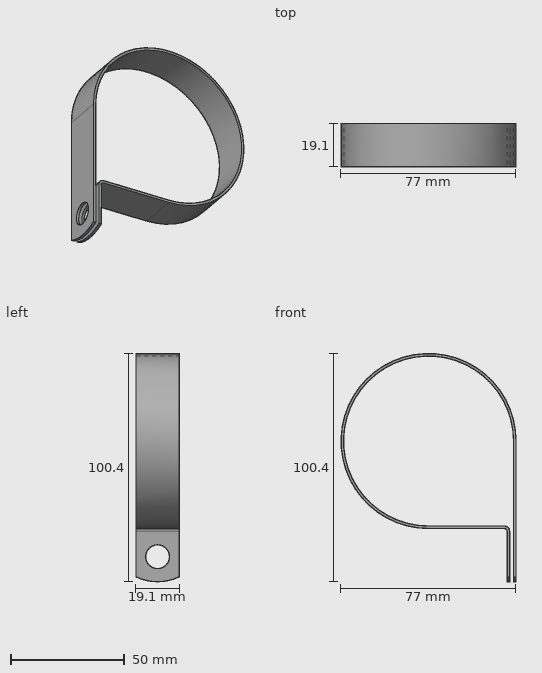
import cadquery as cq
import math

loop_diameter = 77.0
overall_height = 100.4
strap_width = 19.1
thickness = 1.2
leg_gap = 1.6
bend_inner_radius = 1.2
hole_diameter = 10.3
hole_height = 11.0
tip_radius = 22.1

outer_radius = loop_diameter / 2
inner_radius = outer_radius - thickness
bend_outer_radius = bend_inner_radius + thickness
tip_z = outer_radius - overall_height
short_leg_outer_x = inner_radius - leg_gap
short_leg_inner_x = short_leg_outer_x - thickness
bend_x = short_leg_outer_x - bend_outer_radius
bend_z = -inner_radius - bend_outer_radius


def bend_midpoint(radius):
    """Point halfway round the bend from the flat shelf to the short leg."""
    offset = radius * math.sqrt(0.5)
    return (bend_x + offset, bend_z + offset)


def strap():
    """Strip of constant thickness: long leg, loop, flat shelf, bend and short leg."""
    profile = (
        cq.Workplane("XZ")
        .moveTo(outer_radius, tip_z)
        .lineTo(outer_radius, 0)
        .threePointArc((0, outer_radius), (-outer_radius, 0))
        .threePointArc(
            (-outer_radius * math.sqrt(0.5), -outer_radius * math.sqrt(0.5)),
            (0, -outer_radius),
        )
        .lineTo(bend_x, -outer_radius)
        .threePointArc(bend_midpoint(bend_inner_radius), (short_leg_inner_x, bend_z))
        .lineTo(short_leg_inner_x, tip_z)
        .lineTo(short_leg_outer_x, tip_z)
        .lineTo(short_leg_outer_x, bend_z)
        .threePointArc(bend_midpoint(bend_outer_radius), (bend_x, -inner_radius))
        .lineTo(0, -inner_radius)
        .threePointArc(
            (-inner_radius * math.sqrt(0.5), -inner_radius * math.sqrt(0.5)),
            (-inner_radius, 0),
        )
        .threePointArc((0, inner_radius), (inner_radius, 0))
        .lineTo(inner_radius, tip_z)
        .close()
    )
    return profile.extrude(strap_width / 2, both=True)


def tip_envelope():
    """Side outline of the strap, with its lower end rounded by one shallow arc."""
    half_width = strap_width / 2
    arc_end_z = tip_z + tip_radius - math.sqrt(tip_radius**2 - half_width**2)
    return (
        cq.Workplane("YZ")
        .moveTo(-half_width, outer_radius)
        .lineTo(-half_width, arc_end_z)
        .threePointArc((0, tip_z), (half_width, arc_end_z))
        .lineTo(half_width, outer_radius)
        .close()
        .extrude(outer_radius, both=True)
    )


def bolt_hole():
    """Cutter passing through both legs."""
    return (
        cq.Workplane("YZ")
        .center(0, tip_z + hole_height)
        .circle(hole_diameter / 2)
        .extrude(outer_radius)
    )


result = strap().intersect(tip_envelope()).cut(bolt_hole())